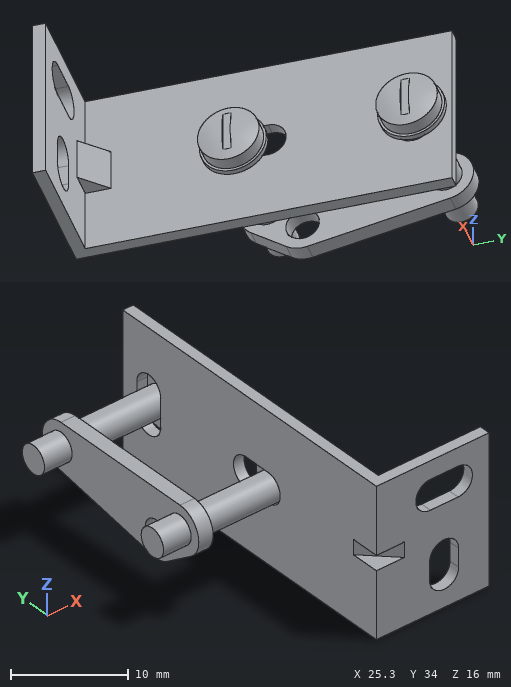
import cadquery as cq
import math

SHEET = 1.2
PLATE_LENGTH = 34.0
LEG_LENGTH = 12.5
HEIGHT = 16.0
MID_HEIGHT = HEIGHT / 2

SLOT_WIDTH = 3.2
LONG_SLOT = 6.25
SHORT_SLOT = 5.17
LEG_SLOT_X = 7.5
LONG_LEG_SLOT_Z = 12.45
SHORT_LEG_SLOT_Z = 4.5
PLATE_SLOT_Y = 16.0

NOTCH_WIDTH = 1.6
NOTCH_LEG = 3.1
GUSSET_LEG = 2.3
GUSSET_WIDTH = NOTCH_WIDTH + 2 * SHEET

SCREW_Y = (14.55, 30.5)
SHANK_DIAMETER = 3.0
SHANK_TIP_X = -12.8
FLANGE_DIAMETER = 6.0
FLANGE_THICKNESS = 0.5
HEAD_DIAMETER = 5.5
HEAD_THICKNESS = 1.33
DOME_HEIGHT = 0.65
DRIVE_WIDTH = 0.75
DRIVE_DEPTH = 0.3

LEVER_X = -9.72
LEVER_THICKNESS = 1.6
LEVER_RADIUS = 2.5
LEVER_HOLE_Y = 17.7
LEVER_HOLE_DROP = 2.25


def corner_prism(leg, offset, width):
    """Right-angled triangular prism, centred at mid height, with its corner at (offset, offset)."""
    return (
        cq.Workplane("XY", origin=(offset, offset, MID_HEIGHT - width / 2))
        .polyline([(0, 0), (leg, 0), (0, leg)])
        .close()
        .extrude(width)
    )


def leg_slot(z, length, angle):
    """Cutter through the leg, which lies in the XZ plane."""
    return (
        cq.Workplane("XZ", origin=(LEG_SLOT_X, SHEET, z))
        .slot2D(length, SLOT_WIDTH, angle)
        .extrude(SHEET)
    )


def plate_slot(y, angle):
    """Cutter through the plate, which lies in the YZ plane."""
    return cq.Workplane("YZ", origin=(0, y, MID_HEIGHT)).slot2D(LONG_SLOT, SLOT_WIDTH, angle).extrude(SHEET)


def make_bracket():
    plate = cq.Workplane("XY").box(SHEET, PLATE_LENGTH, HEIGHT, centered=False)
    leg = cq.Workplane("XY").box(LEG_LENGTH, SHEET, HEIGHT, centered=False)
    return (
        plate.union(leg)
        .union(corner_prism(GUSSET_LEG, SHEET, GUSSET_WIDTH))
        .cut(corner_prism(NOTCH_LEG, 0, NOTCH_WIDTH))
        .cut(leg_slot(LONG_LEG_SLOT_Z, LONG_SLOT, 0))
        .cut(leg_slot(SHORT_LEG_SLOT_Z, SHORT_SLOT, 90))
        .cut(plate_slot(PLATE_SLOT_Y, 0))
        .cut(plate_slot(SCREW_Y[1], 90))
    )


def make_screw(y):
    """Screw along X with a flanged, domed head; its shank runs through the plate."""
    head_x = SHEET + FLANGE_THICKNESS
    rim_x = head_x + HEAD_THICKNESS
    crown_x = rim_x + DOME_HEIGHT
    head_radius = HEAD_DIAMETER / 2

    dome_radius = (head_radius**2 + DOME_HEIGHT**2) / (2 * DOME_HEIGHT)
    half_sweep = math.asin(head_radius / dome_radius) / 2
    dome_mid = (
        crown_x - dome_radius * (1 - math.cos(half_sweep)),
        dome_radius * math.sin(half_sweep),
    )
    turned = (
        cq.Workplane("XY")
        .moveTo(SHANK_TIP_X, 0)
        .lineTo(SHANK_TIP_X, SHANK_DIAMETER / 2)
        .lineTo(SHEET, SHANK_DIAMETER / 2)
        .lineTo(SHEET, FLANGE_DIAMETER / 2)
        .lineTo(head_x, FLANGE_DIAMETER / 2)
        .lineTo(head_x, head_radius)
        .lineTo(rim_x, head_radius)
        .threePointArc(dome_mid, (crown_x, 0))
        .close()
        .revolve(360, (0, 0, 0), (1, 0, 0))
    )
    drive_slot = (
        cq.Workplane("XY")
        .box(DRIVE_DEPTH, DRIVE_WIDTH, HEAD_DIAMETER)
        .translate((crown_x - DRIVE_DEPTH / 2, 0, 0))
    )
    return turned.cut(drive_slot).translate((0, y, MID_HEIGHT))


def make_lever():
    """Plate whose outline wraps three equal circles, one round each hole."""
    centers = [
        (SCREW_Y[0], MID_HEIGHT),
        (LEVER_HOLE_Y, MID_HEIGHT - LEVER_HOLE_DROP),
        (SCREW_Y[1], MID_HEIGHT),
    ]
    core = cq.Workplane("YZ", origin=(LEVER_X, 0, 0)).polyline(centers).close()
    outline = core.offset2D(LEVER_RADIUS, "arc")
    holes = (
        cq.Workplane("YZ", origin=(LEVER_X, 0, 0))
        .pushPoints(centers)
        .circle(SHANK_DIAMETER / 2)
        .extrude(LEVER_THICKNESS)
    )
    return outline.extrude(LEVER_THICKNESS).cut(holes)


bracket = make_bracket()
lever = make_lever()
screws = [make_screw(y) for y in SCREW_Y]

result = cq.Compound.makeCompound([bracket.val(), lever.val(), *[screw.val() for screw in screws]])